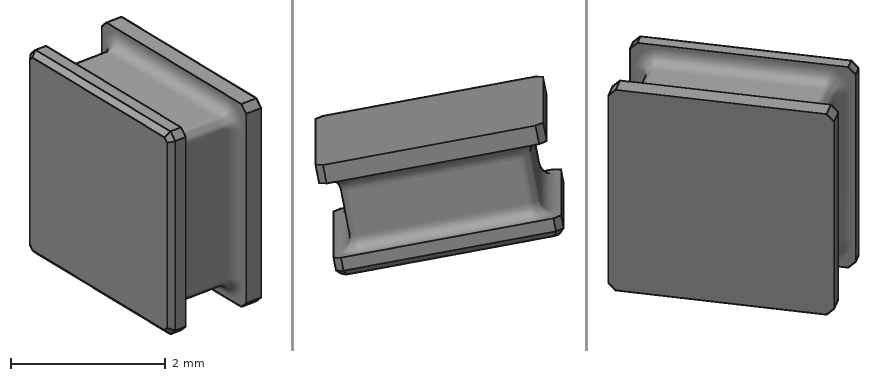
import cadquery as cq

flange_size = 3.0
total_depth = 1.5
flange_thickness = 0.25
flange_corner_chamfer = 0.1
front_edge_chamfer = 0.075

groove_depth = 0.25
core_size = flange_size - 2 * groove_depth
core_length = total_depth - 2 * flange_thickness
core_corner_chamfer = 0.1
core_edge_radius = 0.1
core_to_flange_radius = 0.2

front_y = -total_depth / 2
core_front_y = front_y + flange_thickness
core_back_y = core_front_y + core_length


def square_block(size, start_y, length, corner_chamfer):
    """Square block with bevelled corners, running from start_y toward +Y."""
    block = cq.Workplane("XZ", origin=(0, start_y, 0)).rect(size, size).extrude(-length)
    return block.edges("|Y").chamfer(corner_chamfer)


def make_core():
    """Core whose bevelled corners are rounded where they meet the flat sides."""
    core = square_block(core_size, core_front_y, core_length, core_corner_chamfer)
    return core.edges("|Y").fillet(core_edge_radius)


def make_flange(start_y):
    return square_block(flange_size, start_y, flange_thickness, flange_corner_chamfer)


def make_front_flange():
    """Front flange with its outer rim bevelled."""
    return make_flange(front_y).faces("<Y").edges().chamfer(front_edge_chamfer)


def fillet_core_roots(body):
    """Concave fillets where both ends of the core meet the flanges."""
    half_width = core_size / 2 + groove_depth / 2
    half_length = core_length / 2 + flange_thickness / 2
    root_edges = cq.selectors.BoxSelector(
        (-half_width, -half_length, -half_width),
        (half_width, half_length, half_width),
    )
    return body.edges(root_edges).edges("not |Y").fillet(core_to_flange_radius)


spool = make_core().union(make_front_flange()).union(make_flange(core_back_y))
result = fillet_core_roots(spool)